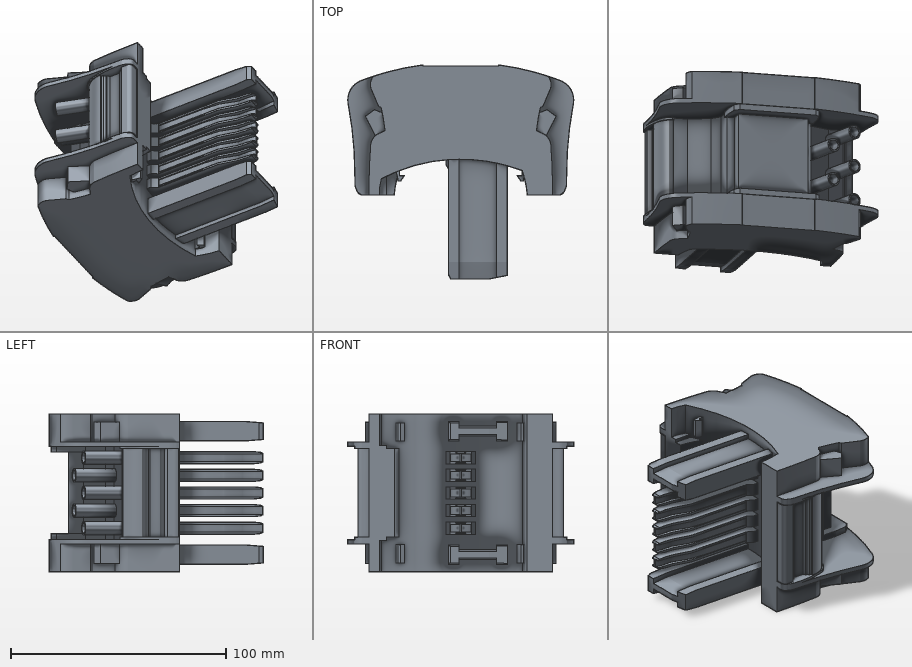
import cadquery as cq
import math

HALF_HEIGHT = 36.66
FLANGE_TOP = 23.7
FLANGE_BOTTOM = 21.6
COLLAR_BOTTOM = 20.6
INSERT_TOP = 22.0
DECK_BOTTOM = 18.9

BACK_RADIUS = 130.0
BACK_APEX = 61.7
BACK_FLAT_Y = 60.0
BACK_FLAT_WIDTH = 35.0
FRONT_RADIUS = 79.2
FRONT_APEX = 16.7
BODY_HALF_WIDTH = 42.6
LEG_INNER_X = 30.8
OPENING_HALF_WIDTH = 28.5
LEG_WALL_MIDDLE = (30.0, 5.9)

FLANGE_HALF_WIDTH = 52.5
CORNER_RADIUS = 9.8
CORNER_CENTER_Y = 44.1
CORNER_START_X = 45.6
CORNER_END_Y = 41.8

BARREL_FRONT_Y = 0.4

RAIL_Z = 28.6
RAIL_X0 = -5.8
RAIL_X1 = 21.6
RAIL_FLANGE_WIDTH = 5.0
RAIL_HALF_HEIGHT = 4.5
RAIL_TIP_HALF_HEIGHT = 3.9
RAIL_WEB_HALF_HEIGHT = 2.3
RAIL_WEB_TIP_HALF_HEIGHT = 1.5
RAIL_TIP_Y = -38.9
RAIL_TAPER_Y = -31.0
RAIL_ROOT_Y = 18.9

CONTACT_COUNT = 5
CONTACT_PITCH = 8.2
CONTACT_TIP_Y = -38.7
CONTACT_NOSE_Y = -37.6
CONTACT_ROOT_Y = 17.8
CONTACT_ROOT_HALF_WIDTH = 6.9
CONTACT_HALF_HEIGHT = 2.8
CONTACT_NOSE_HALF_HEIGHT = 2.5
CONTACT_TIP_HALF_HEIGHT = 2.0
CONTACT_WEB_HALF_HEIGHT = 1.8
CONTACT_TIP_TAPER_Y = -34.6
TUBE_RADIUS = 3.1
TUBE_BORE_RADIUS = 2.4
TUBE_BORE_DEPTH = 6.3
TUBE_LENGTH = 25.2
TUBE_ANGLE = math.radians(18)
OUTER_TUBE_END = (-41.3, 44.5)
INNER_TUBE_END = (-30.0, 48.9)

HOOK_Z0 = 24.0
HOOK_Z1 = 32.5

BOSS_TOP = 32.8


def back_y(x):
    """Y position of the back arc at x."""
    return BACK_APEX - BACK_RADIUS + math.sqrt(BACK_RADIUS**2 - x**2)


def front_y(x):
    """Y position of the concave front arc at x."""
    return FRONT_APEX - FRONT_RADIUS + math.sqrt(FRONT_RADIUS**2 - x**2)


def layer(profile, z0, z1):
    """Extrude a plan profile, drawn at z = 0, between two heights."""
    return profile.extrude(z1 - z0).translate((0, 0, z0))


def both_sides(solid):
    """Add the mirror image across x = 0."""
    return solid.union(solid.mirror("YZ"))


def top_and_bottom(solid):
    """Add the mirror image across z = 0."""
    return solid.union(solid.mirror("XY"))


def body_half():
    """Left half plan of the shell, with the recess for the side boss."""
    return (
        cq.Workplane("XY")
        .moveTo(0, 0)
        .lineTo(0, BACK_APEX)
        .threePointArc((-21, back_y(21)), (-40.4, back_y(40.4)))
        .threePointArc((-41.9, 52.2), (-41.6, 49.5))
        .lineTo(-38.2, 41.3)
        .lineTo(-36.9, 40.6)
        .threePointArc((-35.9, 35.2), (-35.1, 30.0))
        .lineTo(-39.3, 27.9)
        .threePointArc((-40.8, 26.2), (-41.8, 23.8))
        .threePointArc((-42.3, 14.7), (-BODY_HALF_WIDTH, 0))
        .close()
    )


def flange_half():
    """Left half plan of the wide thin flange."""
    corner_x = -FLANGE_HALF_WIDTH + CORNER_RADIUS
    corner_end_x = corner_x - math.sqrt(CORNER_RADIUS**2 - (CORNER_CENTER_Y - CORNER_END_Y) ** 2)
    return (
        cq.Workplane("XY")
        .moveTo(0, 0)
        .lineTo(0, BACK_APEX)
        .threePointArc((-21, back_y(21)), (-CORNER_START_X, back_y(CORNER_START_X)))
        .threePointArc((-FLANGE_HALF_WIDTH, CORNER_CENTER_Y), (corner_end_x, CORNER_END_Y))
        .threePointArc((-49.9, 25.7), (-49.2, 9.9))
        .lineTo(-49.1, 4.6)
        .threePointArc((-48.8, 3.4), (-48.3, 2.2))
        .threePointArc((-47.2, 0.6), (-45.6, 0))
        .close()
    )


def barrel_half():
    """Left grip barrel: rounded back lobe, stepped grooves and a rounded front lobe."""
    return (
        cq.Workplane("XY")
        .moveTo(-40.9, BARREL_FRONT_Y)
        .lineTo(-40.9, 26.6)
        .lineTo(-41.8, 26.6)
        .threePointArc((-45.7, 23.4), (-47.7, 17.0))
        .lineTo(-46.8, 17.0)
        .lineTo(-46.8, 15.9)
        .lineTo(-45.7, 15.1)
        .lineTo(-45.7, 14.5)
        .lineTo(-44.5, 13.7)
        .lineTo(-44.5, 8.5)
        .lineTo(-45.7, 7.8)
        .lineTo(-45.7, 7.0)
        .lineTo(-47.1, 6.1)
        .lineTo(-47.7, 5.5)
        .lineTo(-47.7, 2.3)
        .threePointArc((-47.0, 0.9), (-45.5, BARREL_FRONT_Y))
        .close()
    )


def collar_half():
    """Plan of the lip around the barrel, before trimming to the flange."""
    return (
        cq.Workplane("XY")
        .moveTo(-40.9, 0)
        .lineTo(-40.9, 27.6)
        .lineTo(-41.8, 27.6)
        .threePointArc((-44.8, 25.6), (-47.0, 21.8))
        .threePointArc((-48.5, 16.3), (-49.2, 9.9))
        .lineTo(-50.4, 9.9)
        .lineTo(-50.4, 0)
        .close()
    )


def core():
    """Middle of the shell between the flanges: front wall and stepped rear housing."""
    half = (
        cq.Workplane("XY")
        .moveTo(0, 0)
        .lineTo(0, 51.6)
        .lineTo(-16.8, 51.6)
        .lineTo(-16.8, 44.6)
        .lineTo(-20.2, 44.6)
        .lineTo(-20.2, 34.4)
        .lineTo(-23.9, 30.3)
        .lineTo(-34.1, 26.2)
        .lineTo(-BODY_HALF_WIDTH, 26.2)
        .lineTo(-BODY_HALF_WIDTH, 0)
        .close()
    )
    return both_sides(layer(half, -FLANGE_BOTTOM, FLANGE_BOTTOM))


def shell():
    """Caps with flanges, bosses and decks, joined by the core and the grip barrels."""
    slab = layer(body_half(), FLANGE_BOTTOM, HALF_HEIGHT)
    flange = layer(flange_half(), FLANGE_BOTTOM, FLANGE_TOP)
    collar = layer(collar_half(), COLLAR_BOTTOM, FLANGE_TOP)
    collar = collar.intersect(layer(flange_half(), COLLAR_BOTTOM, FLANGE_TOP))
    boss_plan = [(-44.3, 36.6), (-40.1, 39.7), (-35.7, 38.0), (-34.6, 30.2), (-39.8, 27.8)]
    boss = layer(cq.Workplane("XY").polyline(boss_plan).close(), FLANGE_BOTTOM, BOSS_TOP)
    deck_plan = [(0, 43.5), (-21.3, 43.5), (-21.3, 51.2), (-20.6, 57.2), (-18.4, 59.6), (0, 59.6)]
    deck = layer(cq.Workplane("XY").polyline(deck_plan).close(), DECK_BOTTOM, FLANGE_TOP)
    caps = top_and_bottom(both_sides(slab.union(flange).union(collar).union(boss).union(deck)))
    barrels = both_sides(layer(barrel_half(), -FLANGE_BOTTOM, FLANGE_BOTTOM))
    body = caps.union(core()).union(barrels)
    back_flat = cq.Workplane("XY").box(
        BACK_FLAT_WIDTH, BACK_APEX - BACK_FLAT_Y, 2 * HALF_HEIGHT, centered=(True, False, True)
    )
    return body.cut(back_flat.translate((0, BACK_FLAT_Y, 0)))


def front_opening():
    """Concave front between the legs; the left leg is the thinner one."""
    left_wall_x = -37.7
    left_corner_x = -36.8
    plan = (
        cq.Workplane("XY")
        .moveTo(left_wall_x, 0)
        .lineTo(left_wall_x, 3.5)
        .lineTo(left_corner_x, front_y(left_corner_x))
        .threePointArc((0, FRONT_APEX), (OPENING_HALF_WIDTH, front_y(OPENING_HALF_WIDTH)))
        .threePointArc(LEG_WALL_MIDDLE, (LEG_INNER_X, 0))
        .close()
    )
    return layer(plan, -HALF_HEIGHT, HALF_HEIGHT)


def left_leg_insert():
    """Block between the flanges that widens the left leg to match the right one."""
    step_x = -34.4
    root_x = -38.8
    root_y = 18.9
    middle_x, middle_y = LEG_WALL_MIDDLE
    plan = (
        cq.Workplane("XY")
        .moveTo(-LEG_INNER_X, 0)
        .threePointArc((-middle_x, middle_y), (-OPENING_HALF_WIDTH, front_y(OPENING_HALF_WIDTH)))
        .lineTo(-OPENING_HALF_WIDTH, root_y)
        .lineTo(root_x, root_y)
        .lineTo(root_x, 0)
        .close()
    )
    block = layer(plan, -COLLAR_BOTTOM, COLLAR_BOTTOM)
    shoulder = cq.Workplane("XY").box(
        step_x - root_x, root_y, 2 * INSERT_TOP, centered=(False, False, True)
    )
    return block.union(shoulder.translate((root_x, 0, 0)))


def hooks():
    """Four barbed hooks at the inner corners of the legs."""
    plan = [
        (-30.3, 11.5), (-28.3, 12.6), (-28.3, 9.1), (-26.1, 9.1),
        (-27.9, 6.5), (-29.2, 6.5), (-29.6, 9.4),
    ]
    hook = layer(cq.Workplane("XY").polyline(plan).close(), HOOK_Z0, HOOK_Z1)
    return top_and_bottom(both_sides(hook))


def rail_side(x0, x1, half_height, tip_half_height):
    """Bar from x0 to x1 whose height tapers toward its tip."""
    outline = [
        (RAIL_ROOT_Y, half_height), (RAIL_TAPER_Y, half_height), (RAIL_TIP_Y, tip_half_height),
        (RAIL_TIP_Y, -tip_half_height), (RAIL_TAPER_Y, -half_height), (RAIL_ROOT_Y, -half_height),
    ]
    bar = cq.Workplane("YZ").polyline(outline).close().extrude(x1 - x0)
    return bar.translate((x0, 0, RAIL_Z))


def rails():
    """Two H-section rails with trimmed tips."""
    web = rail_side(RAIL_X0, RAIL_X1, RAIL_WEB_HALF_HEIGHT, RAIL_WEB_TIP_HALF_HEIGHT)
    left_inner_x = RAIL_X0 + RAIL_FLANGE_WIDTH
    right_inner_x = RAIL_X1 - RAIL_FLANGE_WIDTH
    left = rail_side(RAIL_X0, left_inner_x, RAIL_HALF_HEIGHT, RAIL_TIP_HALF_HEIGHT)
    right = rail_side(right_inner_x, RAIL_X1, RAIL_HALF_HEIGHT, RAIL_TIP_HALF_HEIGHT)
    plan = [
        (RAIL_X0, RAIL_ROOT_Y), (RAIL_X0, -36.8), (RAIL_X0 + 1, RAIL_TIP_Y),
        (13.3, RAIL_TIP_Y), (RAIL_X1, -37.2), (RAIL_X1, RAIL_ROOT_Y),
    ]
    envelope = layer(cq.Workplane("XY").polyline(plan).close(), 0, HALF_HEIGHT)
    return top_and_bottom(web.union(left).union(right).intersect(envelope))


def contact():
    """One blade contact, centred on z = 0, with a recessed band along each side."""
    edge = [
        (CONTACT_ROOT_HALF_WIDTH, CONTACT_ROOT_Y), (CONTACT_ROOT_HALF_WIDTH, 14.2),
        (5.0, 11.1), (5.0, -21.2), (2.8, -30.0), (2.2, CONTACT_NOSE_Y), (1.7, CONTACT_TIP_Y),
    ]
    mirrored = [(-x, y) for x, y in reversed(edge)]
    blade = cq.Workplane("XY").polyline(edge + mirrored).close()
    blade = layer(blade, -CONTACT_HALF_HEIGHT, CONTACT_HALF_HEIGHT)
    side = [
        (CONTACT_ROOT_Y, CONTACT_HALF_HEIGHT),
        (CONTACT_TIP_TAPER_Y, CONTACT_HALF_HEIGHT),
        (CONTACT_NOSE_Y, CONTACT_NOSE_HALF_HEIGHT),
        (CONTACT_TIP_Y, CONTACT_TIP_HALF_HEIGHT),
    ]
    lower_side = [(y, -z) for y, z in reversed(side)]
    envelope = cq.Workplane("YZ").polyline(side + lower_side).close()
    envelope = envelope.extrude(CONTACT_ROOT_HALF_WIDTH, both=True)
    band = [
        (4.7, 11.1), (4.5, -12.2), (3.8, -20.9), (1.0, -29.7), (0.9, -35.2),
        (0.4, CONTACT_TIP_Y), (CONTACT_ROOT_HALF_WIDTH, CONTACT_TIP_Y), (CONTACT_ROOT_HALF_WIDTH, 11.1),
    ]
    recess = layer(
        cq.Workplane("XY").polyline(band).close(), -CONTACT_WEB_HALF_HEIGHT, CONTACT_WEB_HALF_HEIGHT
    )
    return blade.intersect(envelope).cut(both_sides(recess))


def tube_cylinder(end, z, radius, length):
    """Cylinder running from an open tube end into the shell."""
    axis = (math.sin(TUBE_ANGLE), -math.cos(TUBE_ANGLE), 0)
    sideways = (-math.cos(TUBE_ANGLE), -math.sin(TUBE_ANGLE), 0)
    plane = cq.Plane(origin=(*end, z), xDir=sideways, normal=axis)
    return cq.Workplane(plane).circle(radius).extrude(length)


result = shell().cut(front_opening()).union(left_leg_insert())
result = result.union(hooks()).union(rails())
for index in range(CONTACT_COUNT):
    contact_z = (index - (CONTACT_COUNT - 1) / 2) * CONTACT_PITCH
    tube_end = OUTER_TUBE_END if index % 2 == 0 else INNER_TUBE_END
    result = result.union(contact().translate((0, 0, contact_z)))
    result = result.union(tube_cylinder(tube_end, contact_z, TUBE_RADIUS, TUBE_LENGTH))
    result = result.cut(tube_cylinder(tube_end, contact_z, TUBE_BORE_RADIUS, TUBE_BORE_DEPTH))